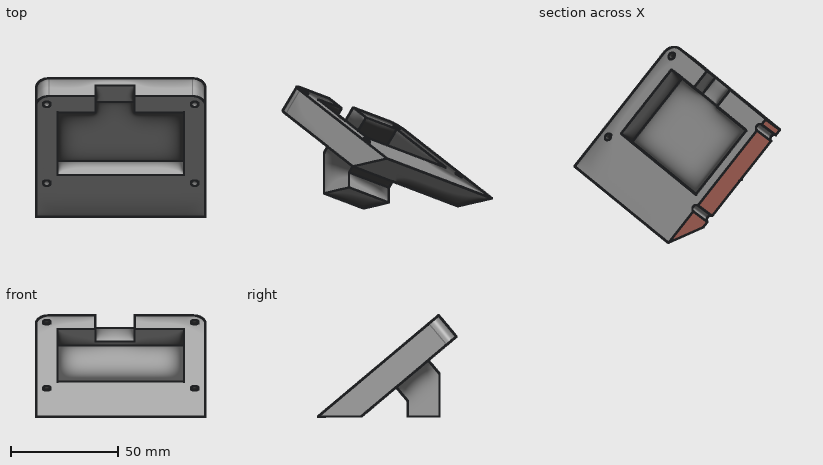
import cadquery as cq
import math

TILT_DEG = 40.0
PANEL_WIDTH = 79.0
PANEL_LENGTH = 73.5
PANEL_THICKNESS = 13.0
CORNER_RADIUS = 6.0
FRONT_LIP_HEIGHT = 0.125

FRAME_WIDTH = 10.0
RECESS_LENGTH = 38.0
RECESS_DEPTH = 10.0

NOTCH_WIDTH = 18.3
NOTCH_OFFSET = -2.7
NOTCH_DEPTH = 7.7

HOLE_DIAMETER = 3.4
HOLE_EDGE_DISTANCE = 5.0
HOLE_PITCH_LENGTH = 48.0

LEG_WIDTH = 30.0
LEG_DEPTH = 15.0
LEG_BACK_Y = 56.8
LEG_BACK_HEIGHT = 19.9

sin_tilt = math.sin(math.radians(TILT_DEG))
cos_tilt = math.cos(math.radians(TILT_DEG))
tan_tilt = sin_tilt / cos_tilt

face_plane = cq.Plane(
    origin=(0, 0, 0),
    xDir=(1, 0, 0),
    normal=(0, -sin_tilt, cos_tilt),
)


def face_box(width, length, depth, start):
    """Block sunk into the panel face, beginning `start` up the slope."""
    return (
        cq.Workplane(face_plane)
        .center(0, start + length / 2)
        .rect(width, length)
        .extrude(-depth)
    )


def make_panel():
    """Sloping slab on a nearly level underside, with rounded top corners."""
    top_y = PANEL_LENGTH * cos_tilt
    top_z = PANEL_LENGTH * sin_tilt
    slab = (
        cq.Workplane("YZ")
        .polyline([
            (0, 0),
            (top_y, top_z),
            (top_y + PANEL_THICKNESS * sin_tilt, top_z - PANEL_THICKNESS * cos_tilt),
            (PANEL_THICKNESS / sin_tilt, 0),
            (0, -FRONT_LIP_HEIGHT),
        ])
        .close()
        .extrude(PANEL_WIDTH / 2, both=True)
    )
    corner_edges = cq.selectors.ParallelDirSelector(face_plane.zDir)
    return slab.faces(">Y").edges(corner_edges).fillet(CORNER_RADIUS)


def make_leg():
    """Upright foot that turns square to the panel to meet its back face."""
    front_y = LEG_BACK_Y - LEG_DEPTH
    knee_front_height = LEG_BACK_HEIGHT - LEG_DEPTH * tan_tilt
    reach = LEG_BACK_Y * sin_tilt - LEG_BACK_HEIGHT * cos_tilt - PANEL_THICKNESS
    reach_y = -reach * sin_tilt
    reach_z = reach * cos_tilt
    return (
        cq.Workplane("YZ")
        .polyline([
            (LEG_BACK_Y, 0),
            (LEG_BACK_Y, LEG_BACK_HEIGHT),
            (LEG_BACK_Y + reach_y, LEG_BACK_HEIGHT + reach_z),
            (front_y + reach_y, knee_front_height + reach_z),
            (front_y, knee_front_height),
            (front_y, 0),
        ])
        .close()
        .extrude(LEG_WIDTH / 2, both=True)
    )


def make_recess():
    start = PANEL_LENGTH - FRAME_WIDTH - RECESS_LENGTH
    return face_box(PANEL_WIDTH - 2 * FRAME_WIDTH, RECESS_LENGTH, RECESS_DEPTH, start)


def make_notch():
    notch = face_box(NOTCH_WIDTH, FRAME_WIDTH, NOTCH_DEPTH, PANEL_LENGTH - FRAME_WIDTH)
    return notch.translate((NOTCH_OFFSET, 0, 0))


def make_screw_holes():
    hole_x = PANEL_WIDTH / 2 - HOLE_EDGE_DISTANCE
    upper = PANEL_LENGTH - HOLE_EDGE_DISTANCE
    lower = upper - HOLE_PITCH_LENGTH
    centres = [(x, y) for x in (-hole_x, hole_x) for y in (lower, upper)]
    return (
        cq.Workplane(face_plane)
        .pushPoints(centres)
        .circle(HOLE_DIAMETER / 2)
        .extrude(-PANEL_THICKNESS)
    )


result = (
    make_panel()
    .union(make_leg())
    .cut(make_recess())
    .cut(make_notch())
    .cut(make_screw_holes())
)